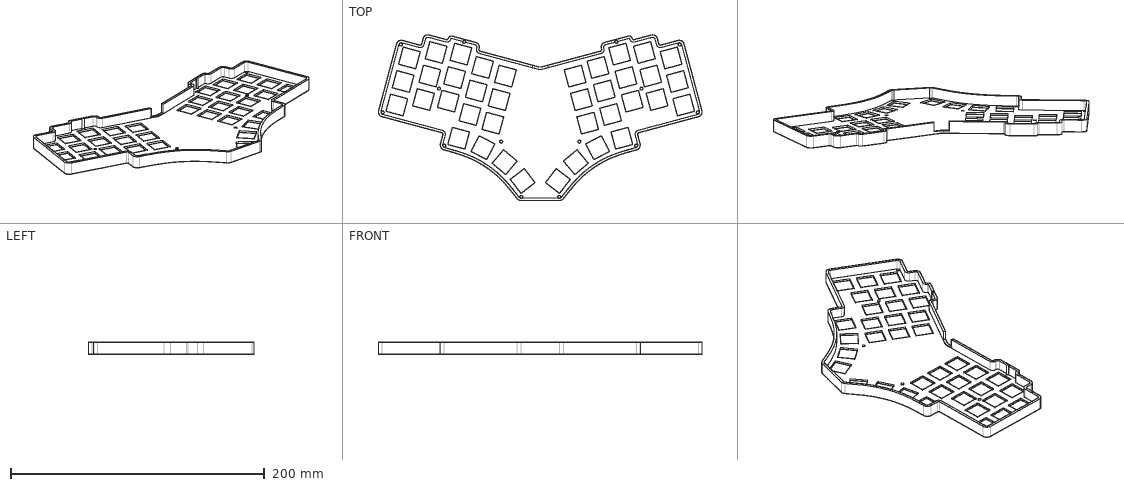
import math

import cadquery as cq


TILT = 15.0
PITCH = 19.2
KEY_OPENING = 13.8
ROWS = 3
FIRST_COLUMN_U = 35.04
MIDDLE_ROW_V = 5.5
COLUMN_STAGGERS = [shift * PITCH for shift in (0.0, 0.1, 0.4, 0.2, -0.3)]

SECOND = 1
THIRD = 2
FOURTH = 3
LAST = 4

THUMB_KEYS = 4
THUMB_STEP = 12.5
THUMB_RADIUS = 94.4
FIRST_THUMB_U = 58.0
FIRST_THUMB_V = -32.15

HEIGHT = 9.6
PLATE_THICKNESS = 1.6
WALL = 2.0
SIDE_MARGIN = 12.8
END_MARGIN = 12.0
FRONT_Y = -65.25
CORNER_RADIUS = 4.0
INNER_CORNER_RADIUS = 1.2
SMALL_STEP_RADIUS = 2.5
APEX_RADIUS = 6.0

NOTCH_WIDTH = 12.4
NOTCH_LIP = 0.5

HOLE_DIAMETER = 2.2
HOLE_INSET = 3.5
FRONT_HOLE = (15.0, -62.3)
THUMB_HOLE = (30.85, -18.7)


def tilted(u, v):
    """Point of the turned key-block frame in part coordinates."""
    angle = math.radians(TILT)
    x = u * math.cos(angle) - v * math.sin(angle)
    y = u * math.sin(angle) + v * math.cos(angle)
    return (x, y)


def column_u(column):
    return FIRST_COLUMN_U + column * PITCH


def column_v(column):
    """Middle key of a column."""
    return MIDDLE_ROW_V + COLUMN_STAGGERS[column]


def back_v(column):
    """Outside of the rim behind a column."""
    return column_v(column) + PITCH + END_MARGIN


OUTER_U = column_u(LAST) + SIDE_MARGIN
OUTER_FRONT_V = column_v(LAST) - PITCH - END_MARGIN
THUMB_SIDE_U = FIRST_THUMB_U + SIDE_MARGIN
THUMB_FRONT_V = FIRST_THUMB_V - END_MARGIN
APEX = (0.0, back_v(SECOND) / math.cos(math.radians(TILT)))
ARC_CENTRE = tilted(FIRST_THUMB_U, FIRST_THUMB_V - THUMB_RADIUS)
THUMB_ANGLES = [TILT + thumb * THUMB_STEP for thumb in range(THUMB_KEYS)]


def on_thumb_arc(radius, angle):
    """Point on a circle about the thumb arc centre, angle in degrees from +Y towards -X."""
    turn = math.radians(angle)
    return (ARC_CENTRE[0] - radius * math.sin(turn), ARC_CENTRE[1] + radius * math.cos(turn))


def front_corner(arc_end, front_y):
    """Where the tangent at the end of the thumb arc meets a line of constant Y."""
    x, y = arc_end
    return (x - (y - front_y) / math.tan(math.radians(THUMB_ANGLES[-1])), front_y)


def round_edges(solid, points, radius):
    """Round the upright edges that stand at the given points."""
    for x, y in points:
        solid = solid.edges("|Z").edges(cq.NearestToPointSelector((x, y, HEIGHT / 2))).fillet(radius)
    return solid


def both_sides(points):
    return list(points) + [(-x, y) for x, y in points]


def rim_block(inset):
    """Solid block bounded by the outside of the rim moved inwards by inset."""
    curve_radius = THUMB_RADIUS - END_MARGIN + inset
    thumb_curve = [on_thumb_arc(curve_radius, angle) for angle in reversed(THUMB_ANGLES)]
    front = front_corner(thumb_curve[0], FRONT_Y + inset)
    apex = (0.0, APEX[1] - inset / math.cos(math.radians(TILT)))
    outer_u = OUTER_U - inset
    outer_front_v = OUTER_FRONT_V + inset
    thumb_side_u = THUMB_SIDE_U - inset
    side_margin = SIDE_MARGIN - inset
    second_back = back_v(SECOND) - inset
    third_back = back_v(THIRD) - inset
    fourth_back = back_v(FOURTH) - inset
    last_back = back_v(LAST) - inset

    thumb_corner = tilted(thumb_side_u, THUMB_FRONT_V + inset)
    thumb_notch = tilted(thumb_side_u, outer_front_v)
    outer_front = tilted(outer_u, outer_front_v)
    outer_back = tilted(outer_u, last_back)
    fourth_notch = tilted(column_u(FOURTH) + side_margin, last_back)
    fourth_corner = tilted(column_u(FOURTH) + side_margin, fourth_back)
    third_notch = tilted(column_u(THIRD) + side_margin, fourth_back)
    third_outer_corner = tilted(column_u(THIRD) + side_margin, third_back)
    third_inner_corner = tilted(column_u(THIRD) - side_margin, third_back)
    second_notch = tilted(column_u(THIRD) - side_margin, second_back)
    corners = [
        thumb_notch,
        outer_front,
        outer_back,
        fourth_notch,
        fourth_corner,
        third_notch,
        third_outer_corner,
        third_inner_corner,
        second_notch,
        apex,
    ]

    half = cq.Workplane("XY").moveTo(0, front[1]).lineTo(*front)
    half = half.spline(thumb_curve + [thumb_corner], includeCurrent=True)
    for corner in corners:
        half = half.lineTo(*corner)
    half = half.close().extrude(HEIGHT)

    rounded = [front, thumb_corner, outer_front, outer_back, fourth_corner, third_inner_corner]
    notches = [thumb_notch, fourth_notch, third_notch, second_notch]
    half = round_edges(half, rounded, CORNER_RADIUS - inset)
    half = round_edges(half, [third_outer_corner], SMALL_STEP_RADIUS - inset)
    half = round_edges(half, notches, INNER_CORNER_RADIUS + inset)
    block = half.union(half.mirror("YZ"), clean=True)
    return round_edges(block, [apex], APEX_RADIUS + inset)


def key_openings():
    """One square cutter per key, on both sides."""
    keys = []
    for column in range(len(COLUMN_STAGGERS)):
        for row in range(ROWS):
            v = column_v(column) + (row - ROWS // 2) * PITCH
            keys.append((tilted(column_u(column), v), TILT))
    for angle in THUMB_ANGLES:
        keys.append((on_thumb_arc(THUMB_RADIUS, angle), angle))

    opening = cq.Workplane("XY").rect(KEY_OPENING, KEY_OPENING).extrude(HEIGHT)
    cutters = cq.Workplane("XY")
    for (x, y), angle in keys:
        cutter = opening.rotate((0, 0, 0), (0, 0, 1), angle).translate((x, y, 0))
        cutters = cutters.add(cutter).add(cutter.mirror("YZ"))
    return cutters.combine()


def screw_holes():
    """Through holes at the rim corners and between the keys."""
    corner_u = OUTER_U - HOLE_INSET
    between_columns = (
        (column_u(THIRD) + column_u(FOURTH)) / 2,
        (column_v(THIRD) + column_v(FOURTH) - PITCH) / 2,
    )
    places = [
        tilted(corner_u, OUTER_FRONT_V + HOLE_INSET),
        tilted(corner_u, back_v(LAST) - HOLE_INSET),
        tilted(THUMB_SIDE_U - HOLE_INSET, THUMB_FRONT_V + HOLE_INSET),
        tilted(column_u(THIRD), back_v(THIRD) - WALL),
        tilted(*between_columns),
        FRONT_HOLE,
        THUMB_HOLE,
    ]
    return cq.Workplane("XY").pushPoints(both_sides(places)).circle(HOLE_DIAMETER / 2).extrude(HEIGHT)


def cable_notch():
    """Cutter that lowers the back of the rim around X = 0."""
    floor = PLATE_THICKNESS + NOTCH_LIP
    reach = 4 * WALL
    return (
        cq.Workplane("XY")
        .workplane(offset=floor)
        .center(*APEX)
        .rect(NOTCH_WIDTH, reach)
        .extrude(HEIGHT - floor)
    )


cavity = rim_block(WALL).translate((0, 0, PLATE_THICKNESS))
tray = rim_block(0).cut(cavity)
tray = tray.cut(cable_notch())
tray = tray.cut(key_openings())
result = tray.cut(screw_holes())